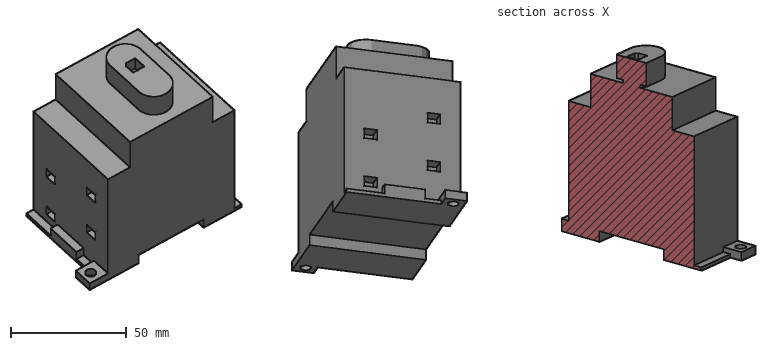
import cadquery as cq

width = 52.5
overall_length = 89.0
overall_height = 89.0
body_length = 69.1
shoulder_height = 61.3
upper_length = 45.1
upper_height = 76.7
axis_y = 0.1

channel_length = 35.3
channel_depth = 5.0

ledge_reach = 3.9
ledge_height = 1.7
clip_width = 18.25
clip_height = 6.0
tab_width = 9.9
tab_height = 4.0
tab_hole_diameter = 4.7
tab_hole_inset = 4.4

window_width = 5.8
window_height = 4.6
window_depth = 5.8
window_offset_x = 14.2
left_window_z = 8.3
right_window_z = 19.6
window_pitch = 22.8

knob_length = 36.5
knob_width = 16.55
knob_height = 11.0
knob_offset_x = 3.8
shaft_diameter = 12.4

pocket_length = 6.4
pocket_width = 6.05
pocket_depth = 6.2
pocket_corner = 1.1


def block(size_x, size_y, height, x=0, y=0, z=0):
    """Box centred on (x, y) and standing on height z."""
    return cq.Workplane("XY").box(size_x, size_y, height, centered=(True, True, False)).translate((x, y, z))


def make_housing():
    lower = block(width, body_length, shoulder_height)
    upper = block(width, upper_length, upper_height, y=axis_y)
    ledges = block(width, body_length + 2 * ledge_reach, ledge_height)
    clip_y = -(body_length + ledge_reach) / 2
    clip = block(clip_width, ledge_reach, clip_height, y=clip_y)
    channel = block(width, channel_length, channel_depth)
    return lower.union(upper).union(ledges).union(clip).cut(channel)


def tab_center_x(side):
    return -side * (width - tab_width) / 2


def make_tab(side):
    tab_length = (overall_length - body_length) / 2
    y = side * (overall_length - tab_length) / 2
    return block(tab_width, tab_length, tab_height, tab_center_x(side), y)


def make_tab_hole(side):
    """Screw hole that also clips the ledge behind the tab."""
    y = side * (overall_length / 2 - tab_hole_inset)
    return cq.Workplane("XY").center(tab_center_x(side), y).circle(tab_hole_diameter / 2).extrude(tab_height)


def make_window(x, center_z):
    y = -(body_length - window_depth) / 2
    return block(window_width, window_depth, window_height, x, y, center_z - window_height / 2)


def make_knob():
    knob_base = overall_height - knob_height
    shaft = (
        cq.Workplane("XY", origin=(0, axis_y, upper_height))
        .circle(shaft_diameter / 2)
        .extrude(knob_base - upper_height)
    )
    grip = (
        cq.Workplane("XY", origin=(knob_offset_x, axis_y, knob_base))
        .slot2D(knob_length, knob_width)
        .extrude(knob_height)
    )
    pocket = block(pocket_length, pocket_width, pocket_depth, y=axis_y, z=overall_height - pocket_depth)
    pocket = pocket.edges("|Z and <X and <Y").chamfer(pocket_corner)
    return shaft.union(grip).cut(pocket)


result = make_housing().union(make_knob())

for side in (1, -1):
    result = result.union(make_tab(side)).cut(make_tab_hole(side))

for row in range(2):
    rise = row * window_pitch
    result = result.cut(make_window(-window_offset_x, left_window_z + rise))
    result = result.cut(make_window(window_offset_x, right_window_z + rise))